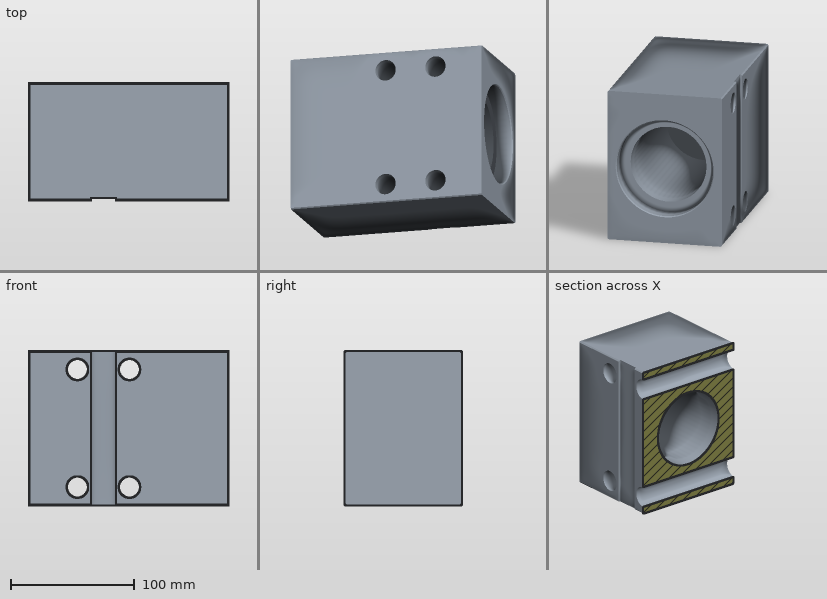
import cadquery as cq

length = 161.0
depth = 95.0
height = 125.0
edge_chamfer = 1.0

bore_diameter = 63.0
counterbore_diameter = 80.0
counterbore_depth = 13.5
mouth_chamfer = 0.8
end_wall = 25.0

slot_width = 20.0
slot_depth = 2.0
slot_center_from_end = 60.0

hole_diameter = 17.0
hole_spacing_x = 42.0
hole_spacing_z = 95.0

end_x = -length / 2
front_y = -depth / 2
slot_x = end_x + slot_center_from_end


def block():
    """Rectangular block with its four lengthwise edges chamfered."""
    return cq.Workplane("XY").box(length, depth, height).edges("|X").chamfer(edge_chamfer)


def stepped_bore():
    """Bore, counterbore and mouth chamfer as one profile revolved about the X axis."""
    bore_radius = bore_diameter / 2
    counterbore_radius = counterbore_diameter / 2
    step_x = end_x + counterbore_depth
    floor_x = length / 2 - end_wall
    return (
        cq.Workplane("XY")
        .moveTo(end_x, 0)
        .lineTo(end_x, counterbore_radius + mouth_chamfer)
        .lineTo(end_x + mouth_chamfer, counterbore_radius)
        .lineTo(step_x, counterbore_radius)
        .lineTo(step_x, bore_radius)
        .lineTo(floor_x, bore_radius)
        .lineTo(floor_x, 0)
        .close()
        .revolve(360, (0, 0, 0), (1, 0, 0))
    )


def key_slot():
    """Shallow slot running the full height of the -Y face."""
    slot_center_y = front_y + slot_depth / 2
    return cq.Workplane("XY").box(slot_width, slot_depth, height).translate((slot_x, slot_center_y, 0))


def mounting_holes():
    """Rectangular pattern of holes running through the block along Y."""
    return (
        cq.Workplane("XZ", origin=(slot_x, 0, 0))
        .rarray(hole_spacing_x, hole_spacing_z, 2, 2)
        .circle(hole_diameter / 2)
        .extrude(depth, both=True)
    )


result = block().cut(stepped_bore()).cut(key_slot()).cut(mounting_holes())